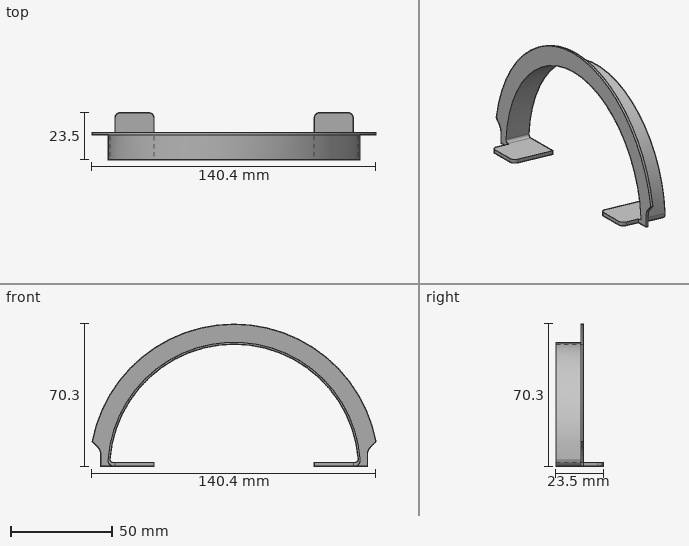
import cadquery as cq
import math

half_width = 70.2
overall_height = 70.3
rim_radius = 71.5
wall_outer_radius = 62.5
wall_thickness = 1.0
plate_thickness = 1.3
wall_depth = 12.4
tab_length = 9.8
foot_thickness = 2.0
foot_inner_x = 39.6
tab_outer_x = 59.0
tab_corner_radius = 2.8
bend_inner_radius = 1.5
bend_outer_radius = 3.0
plate_foot_x = 66.0
notch_radius = 5.0

arc_center_z = overall_height - rim_radius
wall_inner_radius = wall_outer_radius - wall_thickness
tip_z = arc_center_z + math.sqrt(rim_radius**2 - half_width**2)
notch_z = tip_z - (half_width - plate_foot_x)
front_y = -plate_thickness - wall_depth
total_depth = plate_thickness + wall_depth


def arch_segment(radius, base_z, corner_radius, depth):
    """Solid under the arch above base_z, with rounded base corners, from Y = 0 forward."""
    half_base = math.sqrt(radius**2 - (base_z - arc_center_z)**2)
    return (
        cq.Workplane("XZ")
        .moveTo(-half_base, base_z)
        .threePointArc((0, arc_center_z + radius), (half_base, base_z))
        .close()
        .extrude(depth)
        .edges("|Y")
        .fillet(corner_radius)
    )


def rim_plate():
    """Thin plate with the curved rim and a notch below each tip."""
    return (
        cq.Workplane("XZ")
        .moveTo(-plate_foot_x, 0)
        .lineTo(-plate_foot_x, notch_z)
        .lineTo(-half_width, tip_z)
        .threePointArc((0, overall_height), (half_width, tip_z))
        .lineTo(plate_foot_x, notch_z)
        .lineTo(plate_foot_x, 0)
        .close()
        .extrude(plate_thickness)
        .edges(cq.selectors.BoxSelector(
            (-plate_foot_x - 1.4, -plate_thickness, notch_z - 1.4),
            (plate_foot_x + 1.4, 0, notch_z + 1.4),
        ))
        .edges("|Y")
        .fillet(notch_radius)
    )


def foot_tab(side):
    """Flat tab behind the plate, with its two free corners rounded."""
    return (
        cq.Workplane("XY")
        .center(side * (foot_inner_x + tab_outer_x) / 2, tab_length / 2)
        .rect(tab_outer_x - foot_inner_x, tab_length)
        .extrude(foot_thickness)
        .edges("|Z and >Y")
        .fillet(tab_corner_radius)
    )


wall = arch_segment(wall_outer_radius, 0, bend_outer_radius, total_depth)
opening = arch_segment(wall_inner_radius, foot_thickness, bend_inner_radius, total_depth)
foot_gap = cq.Workplane("XY").box(
    2 * foot_inner_x, total_depth, 2 * foot_thickness, centered=(True, False, False)
).translate((0, front_y, 0))

result = rim_plate().union(wall).cut(opening).cut(foot_gap)
for side in (-1, 1):
    result = result.union(foot_tab(side))